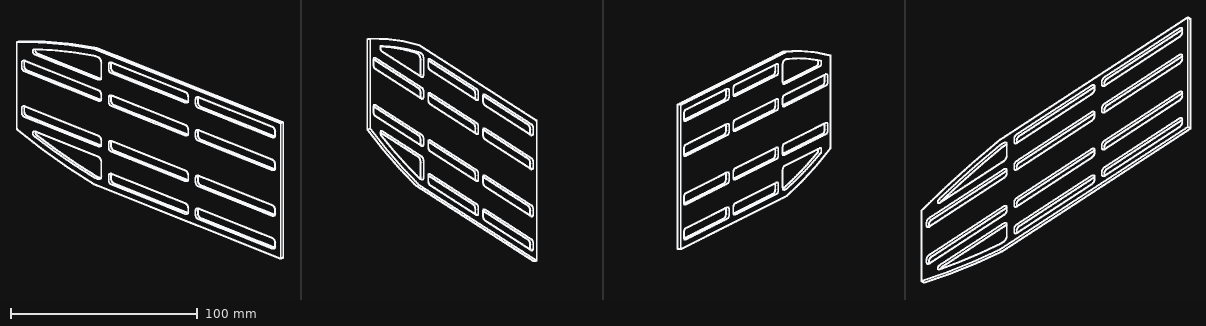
import cadquery as cq
import math

length = 199.2
height = 79.3
thickness = 2.0
nose_length = 58.4
nose_end_height = 51.0
nose_bulge = 1.2
half_height = height / 2
half_nose_end = nose_end_height / 2

slot_length = 60.0
slot_height = 6.2
slot_corner_radius = 2.0
slot_start = 3.8
slot_pitch = 65.5
inner_row_z = 13.3
rim_width = 4.0
outer_row_z = half_height - rim_width - slot_height / 2

window_bottom = 22.5
window_right = slot_start + slot_length
window_top = half_height - rim_width
window_corner_radius = 2.4
window_tip_radius = 1.5

chord_rise = half_height - half_nose_end
chord = math.hypot(nose_length, chord_rise)
nose_radius = (chord / 2) ** 2 / (2 * nose_bulge) + nose_bulge / 2
center_offset = nose_radius - nose_bulge
nose_center_x = nose_length / 2 + center_offset * chord_rise / chord
nose_center_z = (half_height + half_nose_end) / 2 - center_offset * nose_length / chord


def left_arc_point(radius, z):
    """Point at height z on the left side of a circle around the nose arc center."""
    return (nose_center_x - math.sqrt(radius**2 - (z - nose_center_z) ** 2), z)


def plate_blank():
    middle_z = (half_height + half_nose_end) / 2
    upper_middle = left_arc_point(nose_radius, middle_z)
    lower_middle = (upper_middle[0], -middle_z)
    return (
        cq.Workplane("XZ")
        .moveTo(0, -half_nose_end)
        .lineTo(0, half_nose_end)
        .threePointArc(upper_middle, (nose_length, half_height))
        .lineTo(length, half_height)
        .lineTo(length, -half_height)
        .lineTo(nose_length, -half_height)
        .threePointArc(lower_middle, (0, -half_nose_end))
        .close()
        .extrude(thickness)
    )


def slots(columns, row_z):
    """Matching slots above and below the centerline in the given columns."""
    centers = [
        (slot_start + slot_length / 2 + column * slot_pitch, side * row_z)
        for column in columns
        for side in (1, -1)
    ]
    return (
        cq.Workplane("XZ")
        .pushPoints(centers)
        .rect(slot_length, slot_height)
        .extrude(thickness)
        .edges("|Y")
        .fillet(slot_corner_radius)
    )


def upper_window():
    inner_radius = nose_radius - rim_width
    tip = left_arc_point(inner_radius, window_bottom)
    arc_middle = left_arc_point(inner_radius, (window_bottom + window_top) / 2)
    arc_end = left_arc_point(inner_radius, window_top)
    return (
        cq.Workplane("XZ")
        .moveTo(*tip)
        .threePointArc(arc_middle, arc_end)
        .lineTo(window_right, window_top)
        .lineTo(window_right, window_bottom)
        .close()
        .extrude(thickness)
        .edges("|Y and >X")
        .fillet(window_corner_radius)
        .edges("|Y and <X")
        .fillet(window_tip_radius)
    )


window = upper_window()
result = (
    plate_blank()
    .cut(slots((0, 1, 2), inner_row_z))
    .cut(slots((1, 2), outer_row_z))
    .cut(window)
    .cut(window.mirror("XY"))
)